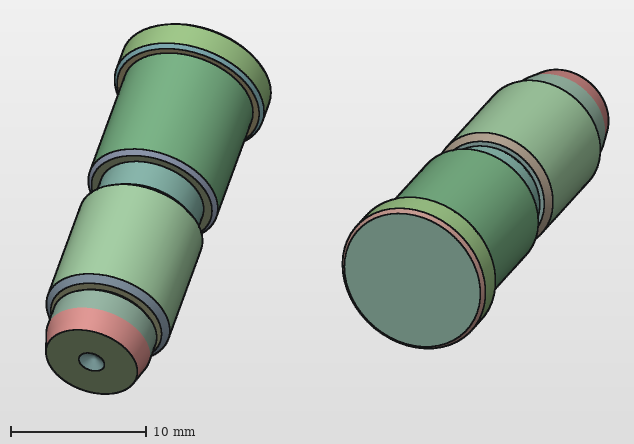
import cadquery as cq
import math

LENGTH = 29.0

HEAD_DIAMETER = 11.5
HEAD_RADIUS = HEAD_DIAMETER / 2
HEAD_THICKNESS = 2.5
HEAD_CHAMFER = 0.3
SHANK_RADIUS = 5.0
SHANK_LENGTH = 10.0
SHANK_CHAMFER = 0.35
NECK_RADIUS = 4.0
LEAD_LENGTH = 1.8
LEAD_ANGLE = 15.0
CENTRE_HOLE_RADIUS = 1.0
CENTRE_HOLE_ANGLE = 118.0

SLEEVE_RADIUS = 4.75
SLEEVE_BORE_RADIUS = 3.6
SLEEVE_LENGTH = 10.0
SLEEVE_START = 4.0
SLEEVE_CHAMFER = 0.5
NECK_CHAMFER = 0.23

SLEEVE_END = SLEEVE_START + SLEEVE_LENGTH
COLLAR_CHAMFER = NECK_RADIUS - SLEEVE_BORE_RADIUS
HEAD_FRONT = LENGTH - HEAD_THICKNESS
SHANK_FRONT = HEAD_FRONT - SHANK_LENGTH
TIP_RADIUS = NECK_RADIUS - LEAD_LENGTH * math.tan(math.radians(LEAD_ANGLE))
CENTRE_HOLE_DEPTH = CENTRE_HOLE_RADIUS / math.tan(math.radians(CENTRE_HOLE_ANGLE / 2))


def revolve_about_y(profile):
    """Revolve a closed (radius, y) profile a full turn about the Y axis."""
    return cq.Workplane("XY").polyline(profile).close().revolve(360, (0, 0, 0), (0, 1, 0))


def make_pin():
    """Headed pin with a grooved neck, a tapered tip and a conical centre hole."""
    return revolve_about_y([
        (0, CENTRE_HOLE_DEPTH),
        (CENTRE_HOLE_RADIUS, 0),
        (TIP_RADIUS, 0),
        (NECK_RADIUS, LEAD_LENGTH),
        (NECK_RADIUS, SLEEVE_START - COLLAR_CHAMFER),
        (SLEEVE_BORE_RADIUS, SLEEVE_START),
        (SLEEVE_BORE_RADIUS, SLEEVE_END),
        (NECK_RADIUS - NECK_CHAMFER, SLEEVE_END),
        (NECK_RADIUS, SLEEVE_END + NECK_CHAMFER),
        (NECK_RADIUS, SHANK_FRONT),
        (SHANK_RADIUS - SHANK_CHAMFER, SHANK_FRONT),
        (SHANK_RADIUS, SHANK_FRONT + SHANK_CHAMFER),
        (SHANK_RADIUS, HEAD_FRONT),
        (HEAD_RADIUS - HEAD_CHAMFER, HEAD_FRONT),
        (HEAD_RADIUS, HEAD_FRONT + HEAD_CHAMFER),
        (HEAD_RADIUS, LENGTH - HEAD_CHAMFER),
        (HEAD_RADIUS - HEAD_CHAMFER, LENGTH),
        (0, LENGTH),
    ])


def make_sleeve():
    """Plain ring with both outer edges chamfered."""
    return revolve_about_y([
        (SLEEVE_BORE_RADIUS, SLEEVE_START),
        (SLEEVE_RADIUS - SLEEVE_CHAMFER, SLEEVE_START),
        (SLEEVE_RADIUS, SLEEVE_START + SLEEVE_CHAMFER),
        (SLEEVE_RADIUS, SLEEVE_END - SLEEVE_CHAMFER),
        (SLEEVE_RADIUS - SLEEVE_CHAMFER, SLEEVE_END),
        (SLEEVE_BORE_RADIUS, SLEEVE_END),
    ])


pin = make_pin()
sleeve = make_sleeve()

result = cq.Compound.makeCompound([pin.val(), sleeve.val()])